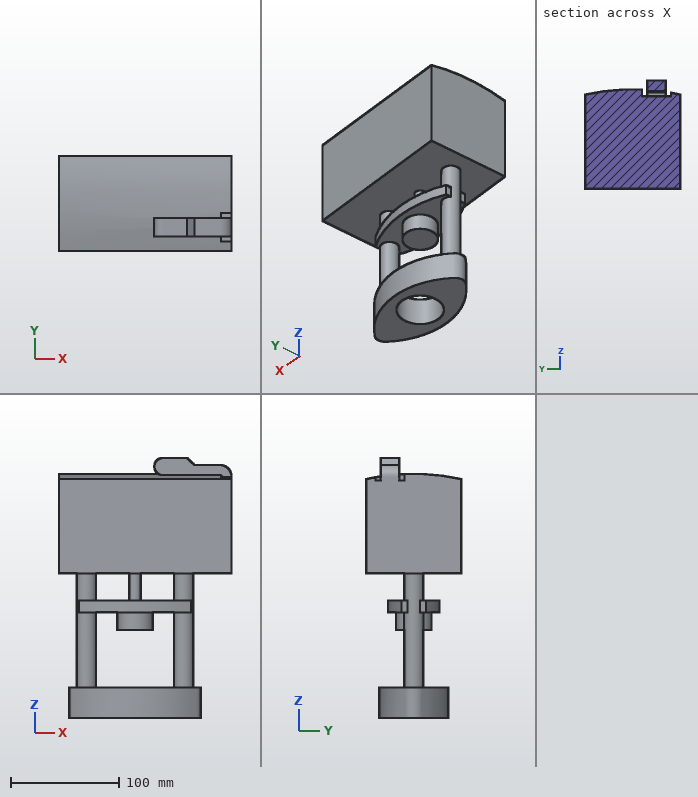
import cadquery as cq
import math


base_height = 28.5
base_half_width = 32.0
base_side_radius = 80.0
base_tip_radius = 10.0
base_bore_diameter = 44.0

column_diameter = 18.0
column_spacing = 90.0

housing_left = -70.5
housing_right = 89.5
housing_width = 88.0
housing_bottom = 134.0
housing_crown_top = 226.3
housing_crown_radius = 200.0

stem_diameter = 11.0
plate_bottom = 98.0
plate_thickness = 11.0
plate_half_length = 52.0
plate_half_width = 24.0
plate_end_half_width = 11.3
coupling_diameter = 33.0
coupling_bottom = 81.5

handle_center_y = -22.0
handle_width = 17.5
handle_left = 17.8
handle_top = 241.0
handle_nose_radius = 8.0
handle_step_height = 6.5
handle_step_start = 48.2
handle_step_end = 55.1
handle_heel_radius = 11.0
handle_foot_start = 79.1
handle_foot_chamfer = 1.6

recess_length = 9.7
recess_width = 26.5
recess_floor = 220.0


def cylinder(diameter, bottom, top, x=0.0):
    """Vertical round bar between two heights."""
    return cq.Workplane("XY", origin=(x, 0, bottom)).circle(diameter / 2).extrude(top - bottom)


def make_base():
    side_center_y = base_side_radius - base_half_width
    center_distance = base_side_radius - base_tip_radius
    tip_center_x = math.sqrt(center_distance**2 - side_center_y**2)
    tip_x = tip_center_x + base_tip_radius
    tangent_x = tip_center_x * base_side_radius / center_distance
    tangent_y = side_center_y * base_tip_radius / center_distance
    return (
        cq.Workplane("XY")
        .moveTo(-tangent_x, -tangent_y)
        .threePointArc((0, -base_half_width), (tangent_x, -tangent_y))
        .threePointArc((tip_x, 0), (tangent_x, tangent_y))
        .threePointArc((0, base_half_width), (-tangent_x, tangent_y))
        .threePointArc((-tip_x, 0), (-tangent_x, -tangent_y))
        .close()
        .extrude(base_height)
        .faces(">Z")
        .workplane(origin=(0, 0, base_height))
        .hole(base_bore_diameter)
    )


def make_columns():
    columns = cq.Workplane("XY")
    for side in (-1, 1):
        columns = columns.add(cylinder(column_diameter, 0, housing_bottom, side * column_spacing / 2))
    return columns.combine()


def make_guide_plate():
    return (
        cq.Workplane("XY", origin=(0, 0, plate_bottom))
        .moveTo(-plate_half_length, -plate_end_half_width)
        .threePointArc((0, -plate_half_width), (plate_half_length, -plate_end_half_width))
        .lineTo(plate_half_length, plate_end_half_width)
        .threePointArc((0, plate_half_width), (-plate_half_length, plate_end_half_width))
        .close()
        .extrude(plate_thickness)
    )


def make_stem():
    stem = cylinder(stem_diameter, plate_bottom, housing_bottom)
    coupling = cylinder(coupling_diameter, coupling_bottom, plate_bottom)
    return stem.union(coupling)


def make_housing():
    half_width = housing_width / 2
    crown_rise = housing_crown_radius - math.sqrt(housing_crown_radius**2 - half_width**2)
    eave = housing_crown_top - crown_rise
    return (
        cq.Workplane("YZ", origin=(housing_left, 0, 0))
        .moveTo(-half_width, housing_bottom)
        .lineTo(half_width, housing_bottom)
        .lineTo(half_width, eave)
        .threePointArc((0, housing_crown_top), (-half_width, eave))
        .close()
        .extrude(housing_right - housing_left)
    )


def make_recess():
    depth = housing_crown_top - recess_floor
    return (
        cq.Workplane("XY", origin=(housing_right - recess_length, handle_center_y, recess_floor))
        .box(recess_length, recess_width, depth, centered=(False, True, False))
    )


def make_handle():
    nose_x = handle_left + handle_nose_radius
    nose_z = handle_top - handle_nose_radius
    underside = handle_top - 2 * handle_nose_radius
    step_z = handle_top - handle_step_height
    heel_x = housing_right - handle_heel_radius
    heel_z = step_z - handle_heel_radius
    heel_mid = handle_heel_radius * math.sqrt(0.5)
    foot_x = handle_foot_start + handle_foot_chamfer
    return (
        cq.Workplane("XZ", origin=(0, handle_center_y, 0))
        .moveTo(nose_x, underside)
        .threePointArc((handle_left, nose_z), (nose_x, handle_top))
        .lineTo(handle_step_start, handle_top)
        .lineTo(handle_step_end, step_z)
        .lineTo(heel_x, step_z)
        .threePointArc((heel_x + heel_mid, heel_z + heel_mid), (housing_right, heel_z))
        .lineTo(housing_right, recess_floor)
        .lineTo(foot_x, recess_floor)
        .lineTo(foot_x, underside - handle_foot_chamfer)
        .lineTo(handle_foot_start, underside)
        .close()
        .extrude(handle_width / 2, both=True)
    )


lower_frame = make_base().union(make_columns())
drive = make_guide_plate().union(make_stem())
head = make_housing().cut(make_recess()).union(make_handle())
result = lower_frame.union(drive).union(head)